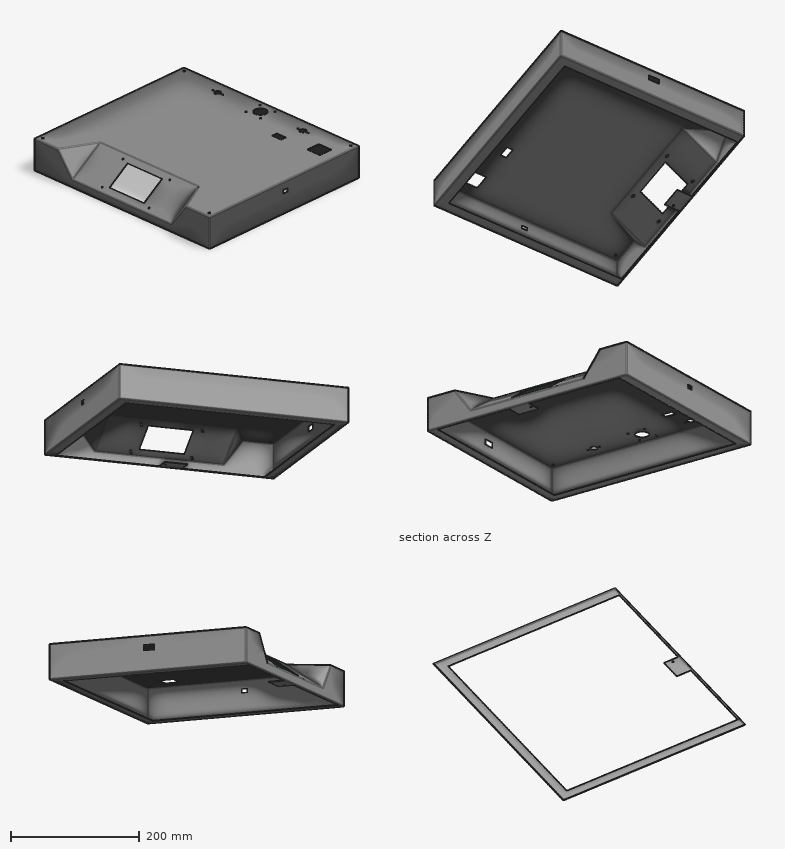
import cadquery as cq
import math

LENGTH = 382.0
DEPTH = 336.0
HEIGHT = 58.0
WALL = 1.5
EDGE_RADIUS = 2.1

FRONT_Y = -DEPTH / 2

PANEL_WIDTH = 214.0
PANEL_RUN = 62.5
PANEL_DROP = 42.8
RECESS_MOUTH_WIDTH = 278.0

WINDOW_WIDTH = 75.0
WINDOW_LENGTH = 49.0
STUD_SPACING_ACROSS = 101.5
STUD_SPACING_ALONG = 56.5
STUD_DIAMETER = 3.0
STUD_LENGTH = 5.7

ROW_Y = 142.5
CENTRE_HOLE_DIAMETER = 23.0
CENTRE_SCREW_SPACING = 31.7
BUTTON_HOLE_DIAMETER = 12.0
BUTTON_X = 92.5
BUTTON_SCREW_SPACING = 21.5
SMALL_SCREW_DIAMETER = 3.0

CORNER_SCREW_INSET = 10.0
CORNER_SCREW_DIAMETER = 4.0

SWITCH_CUTOUT = (20.0, 10.7, 79.5, 102.5)
VENT_CUTOUT = (27.5, 26.0, 155.0, 114.5)

SLOT_BACK_Y = 7.0
SLOT_TOP_Z = 42.8
LEFT_SLOT_LENGTH = 18.5
LEFT_SLOT_HEIGHT = 9.0
RIGHT_SLOT_LENGTH = 9.0
RIGHT_SLOT_HEIGHT = 6.0

SIDE_LIP = 17.5
BACK_LIP = 17.5
FRONT_LIP = 4.0
TAB_WIDTH = 37.5
TAB_REACH = 29.8
TAB_X = -17.5
TAB_HOLE_X = -4.2
TAB_HOLE_Y = -151.3
TAB_HOLE_DIAMETER = 3.0


def recess_faces():
    """A point and the outward normal of the panel face and the two flared side faces."""
    panel_normal = cq.Vector(0, PANEL_DROP, -PANEL_RUN).normalized()
    faces = []
    for side in (-1, 1):
        rear = cq.Vector(side * PANEL_WIDTH / 2, FRONT_Y + PANEL_RUN, HEIGHT)
        mouth = cq.Vector(side * RECESS_MOUTH_WIDTH / 2, FRONT_Y, HEIGHT)
        low = cq.Vector(side * PANEL_WIDTH / 2, FRONT_Y, HEIGHT - PANEL_DROP)
        side_normal = (mouth - rear).cross(low - rear).normalized() * side
        faces.append((rear, side_normal))
    faces.append((rear, panel_normal))
    return faces


def recess(growth):
    """Wedge-shaped recess whose faces are moved outward by growth."""
    size = 3 * LENGTH
    wedge = cq.Workplane("XY").box(size, size, size)
    for point, normal in recess_faces():
        face_plane = cq.Plane(origin=point + normal * growth, normal=normal)
        wedge = wedge.cut(cq.Workplane(face_plane).rect(2 * size, 2 * size).extrude(2 * size))
    return wedge


def block(width, depth, height, x, y, z):
    """Box centred on x and y with its base at z."""
    return cq.Workplane("XY").box(width, depth, height, centered=(True, True, False)).translate((x, y, z))


def housing_body(inset):
    """Rounded housing with every face moved inward by inset."""
    body = block(LENGTH - 2 * inset, DEPTH - 2 * inset, HEIGHT - 2 * inset, 0, 0, inset)
    return body.cut(recess(inset)).edges().fillet(EDGE_RADIUS - inset)


def floor_opening():
    """Opening in the floor, notched around the front tab."""
    width = LENGTH - 2 * SIDE_LIP
    depth = DEPTH - FRONT_LIP - BACK_LIP
    opening = block(width, depth, 2 * WALL, 0, (FRONT_LIP - BACK_LIP) / 2, -WALL / 2)
    return opening.cut(block(TAB_WIDTH, TAB_REACH, 3 * WALL, TAB_X, FRONT_Y + TAB_REACH / 2, -WALL))


def top_holes(points, diameter):
    """Round holes through the top at the given points."""
    top = cq.Workplane("XY").workplane(offset=HEIGHT - 2 * WALL).pushPoints(points)
    return top.circle(diameter / 2).extrude(3 * WALL)


def grid(spacing_x, spacing_y, x=0, y=0):
    """Four points around x, y."""
    return [(x + i * spacing_x / 2, y + j * spacing_y / 2) for i in (-1, 1) for j in (-1, 1)]


result = housing_body(0).cut(housing_body(WALL)).cut(floor_opening())

result = result.cut(top_holes([(0, ROW_Y)], CENTRE_HOLE_DIAMETER))
centre_screws = grid(CENTRE_SCREW_SPACING, CENTRE_SCREW_SPACING, 0, ROW_Y)
result = result.cut(top_holes(centre_screws, SMALL_SCREW_DIAMETER))
for button_x in (-BUTTON_X, BUTTON_X):
    screws = [(button_x + side * BUTTON_SCREW_SPACING / 2, ROW_Y) for side in (-1, 1)]
    result = result.cut(top_holes([(button_x, ROW_Y)], BUTTON_HOLE_DIAMETER))
    result = result.cut(top_holes(screws, SMALL_SCREW_DIAMETER))
corners = grid(LENGTH - 2 * CORNER_SCREW_INSET, DEPTH - 2 * CORNER_SCREW_INSET)
result = result.cut(top_holes(corners, CORNER_SCREW_DIAMETER))

for width, depth, x, y in (SWITCH_CUTOUT, VENT_CUTOUT):
    result = result.cut(block(width, depth, 3 * WALL, x, y, HEIGHT - 2 * WALL))

panel_plane = cq.Plane(
    origin=(0, FRONT_Y + PANEL_RUN / 2, HEIGHT - PANEL_DROP / 2),
    xDir=(1, 0, 0),
    normal=(0, -PANEL_DROP, PANEL_RUN),
)
panel = cq.Workplane(panel_plane)
window = panel.rect(WINDOW_WIDTH, WINDOW_LENGTH).extrude(2 * WALL, both=True)
studs = panel.workplane(offset=-WALL / 2).pushPoints(grid(STUD_SPACING_ACROSS, STUD_SPACING_ALONG))
studs = studs.circle(STUD_DIAMETER / 2).extrude(-WALL / 2 - STUD_LENGTH)
result = result.cut(window).union(studs)

for side, length, height in (
    (-1, LEFT_SLOT_LENGTH, LEFT_SLOT_HEIGHT),
    (1, RIGHT_SLOT_LENGTH, RIGHT_SLOT_HEIGHT),
):
    slot_y = SLOT_BACK_Y - length / 2
    result = result.cut(block(3 * WALL, length, height, side * LENGTH / 2, slot_y, SLOT_TOP_Z - height))

tab_hole = cq.Workplane("XY").center(TAB_HOLE_X, TAB_HOLE_Y).circle(TAB_HOLE_DIAMETER / 2)
result = result.cut(tab_hole.extrude(2 * WALL))